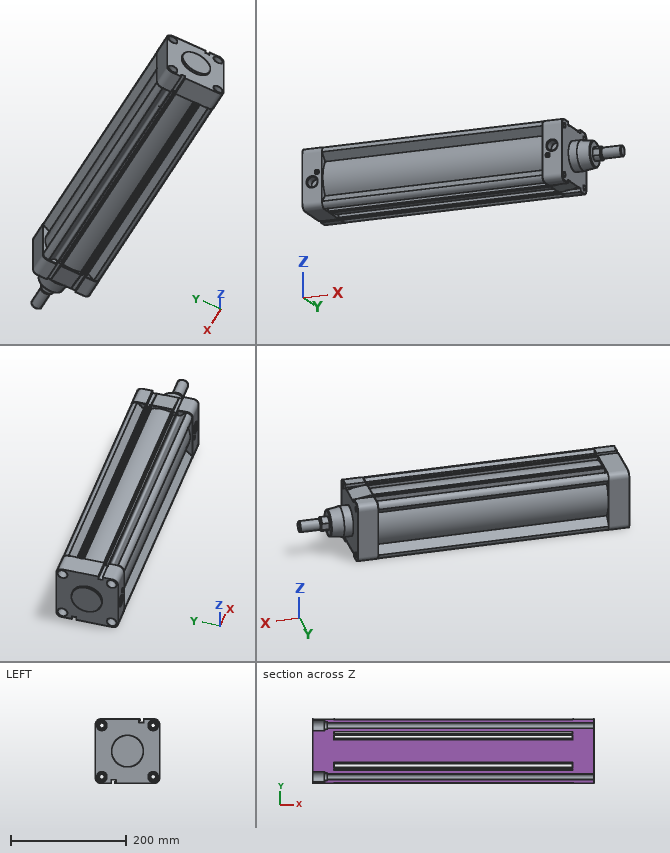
import cadquery as cq
import math


total_length = 583.0
body_side = 112.0
corner_radius = 11.0

rear_face_x = 4.0
rear_cap_end_x = 41.0
front_cap_start_x = 454.5
front_face_x = 492.0
front_pilot_end_x = 508.0
neck_start_x = 510.5
neck_end_x = 531.0
rod_shoulder_x = 544.5

barrel_radius = 51.5
tube_inset = 0.3
side_flank_foot = 31.0
rail_inner = 19.0
lip_width = 2.0
lip_thickness = 2.5
ridge_foot = 29.0
valley_radius = 2.8

slot_inner = 20.0
slot_outer = 28.0
slot_depth = 6.0

cap_edge_chamfer = 1.0
recess_rear_depth = 0.2
recess_front_depth = 5.5

screw_pitch = 89.0
screw_hole_diameter = 9.0
counterbore_diameter = 17.5
counterbore_depth = 20.0
seat_diameter = 12.5
seat_depth = 5.0

port_diameter = 18.5
port_mouth_diameter = 21.5
port_depth = 20.0
cushion_screw_diameter = 5.5
cushion_screw_mouth_diameter = 8.5
cushion_screw_depth = 5.0
rear_port_xz = (22.5, -7.5)
rear_cushion_screw_xz = (31.5, 9.5)
front_port_xz = (473.0, 7.5)
front_cushion_screw_xz = (465.0, -9.5)

pilot_diameter = 55.0
neck_start_radius = 26.5
neck_end_radius = 24.0
neck_chamfer = 1.5
rod_diameter = 25.0
rod_flats_width = 22.0
rod_chamfer = 0.8
thread_diameter = 20.0
thread_chamfer = 1.5
relief_diameter = 19.0
relief_width = 2.5

half_side = body_side / 2
tube_half_side = half_side - tube_inset
flank_start = tube_half_side - corner_radius
slot_floor = half_side - slot_depth


def cylinder_along_x(diameter, start_x, end_x):
    return cq.Workplane("YZ", origin=(start_x, 0, 0)).circle(diameter / 2).extrude(end_x - start_x)


def box_between(start, end):
    size = [high - low for low, high in zip(start, end)]
    return cq.Workplane("XY").box(*size, centered=False).translate(start)


def square_block(start_x, end_x):
    block = box_between((start_x, -half_side, -half_side), (end_x, half_side, half_side))
    return block.edges("|X").fillet(corner_radius)


def on_barrel(offset):
    """Other coordinate of the point of the barrel circle at this offset from the axis."""
    return math.sqrt(barrel_radius**2 - offset**2)


def tube():
    valley_start_y = ridge_foot + valley_radius * (1 + math.sqrt(0.5))
    valley_start_z = tube_half_side - (flank_start - valley_start_y)
    valley_centre_z = valley_start_z + valley_radius * math.sqrt(0.5)
    valley_end = (ridge_foot, valley_centre_z)
    quarter = (
        cq.Workplane("YZ", origin=(rear_cap_end_x, 0, 0))
        .lineTo(barrel_radius, 0)
        .radiusArc((on_barrel(side_flank_foot), side_flank_foot), -barrel_radius)
        .lineTo(tube_half_side, flank_start)
        .radiusArc((flank_start, tube_half_side), -corner_radius)
        .lineTo(valley_start_y, valley_start_z)
        .tangentArcPoint(valley_end, relative=False)
        .lineTo(ridge_foot, tube_half_side)
        .lineTo(slot_outer, tube_half_side)
        .lineTo(slot_outer, on_barrel(slot_outer))
        .lineTo(slot_inner, on_barrel(slot_outer))
        .lineTo(slot_inner, tube_half_side - lip_thickness)
        .lineTo(slot_inner + lip_width, tube_half_side - lip_thickness)
        .lineTo(slot_inner + lip_width, tube_half_side)
        .lineTo(rail_inner, tube_half_side)
        .lineTo(rail_inner, on_barrel(rail_inner))
        .radiusArc((0, barrel_radius), -barrel_radius)
        .close()
        .extrude(front_cap_start_x - rear_cap_end_x)
    )
    top_half = quarter.union(quarter.mirror("XZ"))
    return top_half.union(top_half.mirror("XY"))


def cap_slot(start_x, end_x, y_side, z_side):
    slot = box_between((start_x, slot_inner, slot_floor), (end_x, slot_outer, half_side))
    if y_side < 0:
        slot = slot.mirror("XZ")
    if z_side < 0:
        slot = slot.mirror("XY")
    return slot


def countersunk_side_hole(position, diameter, mouth_diameter, depth):
    """Blind hole into the -Y side with a 45 degree countersink at its mouth."""
    x, z = position
    countersink_depth = (mouth_diameter - diameter) / 2
    mouth = cq.Workplane("XZ", origin=(x, -half_side, z))
    hole = mouth.circle(diameter / 2).extrude(-depth)
    countersink = mouth.circle(mouth_diameter / 2).extrude(-countersink_depth, taper=45)
    return hole.union(countersink)


def port(position):
    return countersunk_side_hole(position, port_diameter, port_mouth_diameter, port_depth)


def cushion_screw(position):
    return countersunk_side_hole(
        position, cushion_screw_diameter, cushion_screw_mouth_diameter, cushion_screw_depth
    )


def rear_cap():
    cap = square_block(rear_face_x, rear_cap_end_x)
    cap = cap.union(cylinder_along_x(pilot_diameter, 0, rear_face_x))
    for side in (-1, 1):
        cap = cap.cut(cap_slot(rear_face_x, rear_cap_end_x, side, -side))
    return cap.cut(port(rear_port_xz)).cut(cushion_screw(rear_cushion_screw_xz))


def front_cap_recess():
    """Material above the sloping face between the two top slots."""
    return (
        cq.Workplane("XZ")
        .moveTo(front_cap_start_x, half_side)
        .lineTo(front_cap_start_x, half_side - recess_rear_depth)
        .lineTo(front_face_x, half_side - recess_front_depth)
        .lineTo(front_face_x, half_side)
        .close()
        .extrude(slot_inner, both=True)
    )


def front_cap():
    cap = square_block(front_cap_start_x, front_face_x)
    cap = cap.faces("<X or >X").chamfer(cap_edge_chamfer)
    for y_side in (-1, 1):
        for z_side in (-1, 1):
            cap = cap.cut(cap_slot(front_cap_start_x, front_face_x, y_side, z_side))
    recess = front_cap_recess()
    cap = cap.cut(recess).cut(recess.mirror("XY"))
    return cap.cut(port(front_port_xz)).cut(cushion_screw(front_cushion_screw_xz))


def neck():
    """Front pilot and the slightly tapered neck ahead of it."""
    return (
        cq.Workplane("XY")
        .moveTo(front_face_x, 0)
        .lineTo(front_face_x, pilot_diameter / 2)
        .lineTo(front_pilot_end_x, pilot_diameter / 2)
        .lineTo(neck_start_x, neck_start_radius)
        .lineTo(neck_end_x - neck_chamfer, neck_end_radius)
        .lineTo(neck_end_x, neck_end_radius - neck_chamfer)
        .lineTo(neck_end_x, 0)
        .close()
        .revolve(360, (0, 0, 0), (1, 0, 0))
    )


def piston_rod():
    half_flats = rod_flats_width / 2
    flats = box_between(
        (neck_end_x, -half_flats, -rod_diameter), (rod_shoulder_x, half_flats, rod_diameter)
    )
    rod = cylinder_along_x(rod_diameter, neck_end_x, rod_shoulder_x)
    rod = rod.faces(">X").chamfer(rod_chamfer).intersect(flats)
    relief_end_x = rod_shoulder_x + relief_width
    relief = cylinder_along_x(relief_diameter, rod_shoulder_x, relief_end_x)
    thread = cylinder_along_x(thread_diameter, relief_end_x, total_length)
    thread = thread.faces(">X").chamfer(thread_chamfer)
    return rod.union(relief).union(thread)


def corner_cylinders(diameter, start_x, end_x):
    return (
        cq.Workplane("YZ", origin=(start_x, 0, 0))
        .rect(screw_pitch, screw_pitch, forConstruction=True)
        .vertices()
        .circle(diameter / 2)
        .extrude(end_x - start_x)
    )


def screw_holes():
    counterbore_end_x = rear_face_x + counterbore_depth
    seat_end_x = counterbore_end_x + seat_depth
    through_holes = corner_cylinders(screw_hole_diameter, rear_face_x, front_face_x)
    counterbores = corner_cylinders(counterbore_diameter, rear_face_x, counterbore_end_x)
    seats = corner_cylinders(seat_diameter, counterbore_end_x, seat_end_x)
    return through_holes.union(counterbores).union(seats)


body = rear_cap().union(tube()).union(front_cap()).cut(screw_holes())
result = body.union(neck()).union(piston_rod())